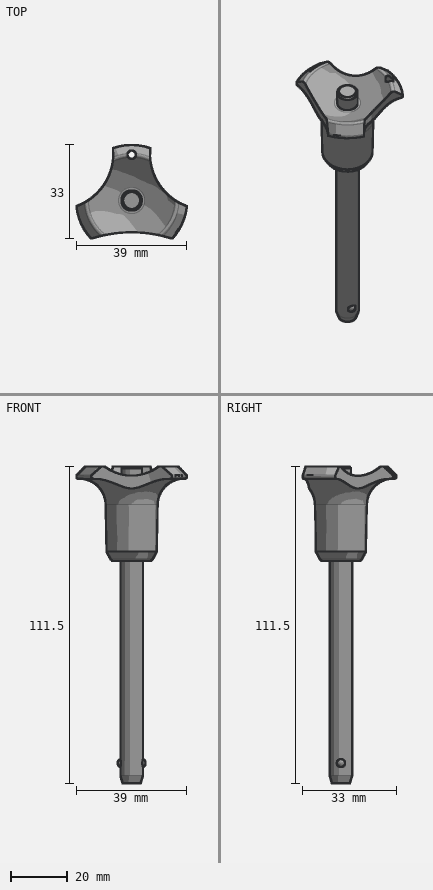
import cadquery as cq
import math


total_length = 111.5
handle_height = 33.4
shank_length = total_length - handle_height

shank_radius = 4.0
tip_radius = 3.2
tip_length = 2.7

ball_radius = 1.5
ball_reach = 4.95
ball_height_above_tip = 7.1

grip_top_radius = 9.2
grip_bottom_radius = 8.88
flare_radius = 9.12
foot_radius = 6.7
foot_chamfer = 0.8
foot_taper_height = 2.6

rim_radius = 19.58
rim_round = 0.8
crest_round = 1.0
crest_radius = 15.9
bowl_radius = 22.0
button_seat_radius = 4.6

button_radius = 3.6
button_chamfer_height = 0.8
button_chamfer_width = 0.6

waist = 11.22
side_scallop_radius = 19.5
side_scallop_angle = 32.2
front_scallop_radius = 46.5
front_scallop_angle = -90

lanyard_hole_diameter = 2.9
lanyard_hole_offset = 16.1


def make_handle_blank():
    """Revolved handle: bevelled foot, tapered grip, flared rim and spherical bowl."""
    diagonal = math.sqrt(0.5)
    rim_center_r = rim_radius - rim_round
    crest_center_z = handle_height - crest_round

    slope_sum = crest_radius + crest_center_z + crest_round / diagonal
    rim_center_z = slope_sum - rim_round / diagonal - rim_center_r
    rim_bottom_z = rim_center_z - rim_round
    rim_slope_start = (rim_center_r + rim_round * diagonal, rim_center_z + rim_round * diagonal)

    flare_center_r = grip_top_radius + flare_radius
    grip_top_z = rim_bottom_z - flare_radius
    foot_rim_r = foot_radius + foot_chamfer
    foot_top_z = foot_chamfer + foot_taper_height

    bowl_edge_r = crest_radius - crest_round * diagonal
    bowl_edge_z = crest_center_z + crest_round * diagonal
    bowl_center_z = bowl_edge_z + math.sqrt(bowl_radius**2 - bowl_edge_r**2)

    def bowl_z(r):
        return bowl_center_z - math.sqrt(bowl_radius**2 - r**2)

    bowl_mid_r = (bowl_edge_r + button_seat_radius) / 2
    seat_z = bowl_z(button_seat_radius)

    profile = (
        cq.Workplane("XZ")
        .moveTo(0, 0)
        .lineTo(foot_radius, 0)
        .lineTo(foot_rim_r, foot_chamfer)
        .lineTo(grip_bottom_radius, foot_top_z)
        .lineTo(grip_top_radius, grip_top_z)
        .threePointArc(
            (flare_center_r - flare_radius * diagonal, grip_top_z + flare_radius * diagonal),
            (flare_center_r, rim_bottom_z),
        )
        .lineTo(rim_center_r, rim_bottom_z)
        .radiusArc((rim_radius, rim_center_z), -rim_round)
        .radiusArc(rim_slope_start, -rim_round)
        .lineTo(crest_radius + crest_round * diagonal, bowl_edge_z)
        .threePointArc((crest_radius, handle_height), (bowl_edge_r, bowl_edge_z))
        .threePointArc((bowl_mid_r, bowl_z(bowl_mid_r)), (button_seat_radius, seat_z))
        .lineTo(0, seat_z)
        .close()
    )
    return profile.revolve(360, (0, 0, 0), (0, 1, 0))


def make_scallop(radius, angle):
    """Vertical cylinder that comes within `waist` of the axis in the given direction."""
    distance = waist + radius
    center_x = distance * math.cos(math.radians(angle))
    center_y = distance * math.sin(math.radians(angle))
    return cq.Workplane("XY").center(center_x, center_y).circle(radius).extrude(handle_height)


def make_handle():
    handle = make_handle_blank()
    handle = handle.cut(make_scallop(side_scallop_radius, side_scallop_angle))
    handle = handle.cut(make_scallop(side_scallop_radius, 180 - side_scallop_angle))
    handle = handle.cut(make_scallop(front_scallop_radius, front_scallop_angle))
    lanyard_hole = (
        cq.Workplane("XY")
        .center(0, lanyard_hole_offset)
        .circle(lanyard_hole_diameter / 2)
        .extrude(handle_height)
    )
    return handle.cut(lanyard_hole)


def make_button():
    """Push button, flush with the top of the handle rim."""
    button = cq.Workplane("XY").circle(button_radius).extrude(handle_height)
    return button.faces(">Z").chamfer(button_chamfer_height, button_chamfer_width)


def make_shank():
    shank = cq.Workplane("XY").circle(shank_radius).extrude(-shank_length)
    return shank.faces("<Z").chamfer(tip_length, shank_radius - tip_radius)


def make_ball(side):
    center_x = side * (ball_reach - ball_radius)
    center_z = ball_height_above_tip - shank_length
    return cq.Workplane("XY").sphere(ball_radius).translate((center_x, 0, center_z))


result = make_handle().union(make_button()).union(make_shank())
for side in (-1, 1):
    result = result.union(make_ball(side))